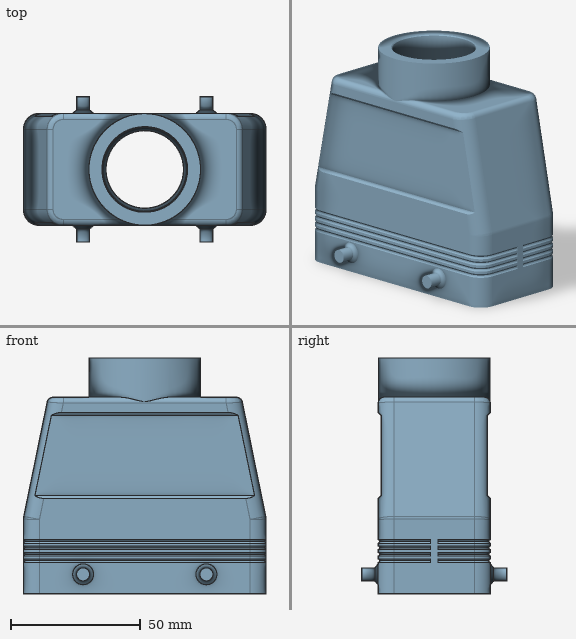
import math

import cadquery as cq

length = 93.5
width = 43.2
shoulder_height = 75.8
knee_height = 29.4
knee_radius = 5.05
top_length = 74.4
corner_radius = 6.2
top_edge_radius = 2.3

wall = 3.0
roof = 3.8
cavity_top = shoulder_height - roof

recess_depth = 1.1
recess_bottom = 36.8
recess_top = 69.9

groove_count = 4
groove_width = 1.5
groove_flank_angle = 45
groove_depth = groove_width / 2
groove_band_bottom = 12.1
groove_band_top = 21.0
groove_gap = 2.9
groove_pitch = (groove_band_top - groove_band_bottom - groove_width) / (groove_count - 1)

total_height = 91.0
collar_diameter = 43.0
bore_diameter = 32.3
bore_chamfer = 0.4
bore_depth = 10.6
seat_diameter = 29.8
seat_depth = 13.2

pin_span_y = 56.0
pin_x = 23.75
pin_z = 7.6
pin_diameter = 5.05
pin_base_diameter = 8.0
pin_base_height = 1.3

lean = math.atan((length - top_length) / 2 / (shoulder_height - knee_height))


def hood_block(half_length, half_width, height, vertical_radius):
    """Solid hood with leaning end walls, a rounded knee and rounded upright edges."""
    half_top = half_length - (height - knee_height) * math.tan(lean)
    block = (
        cq.Workplane("XZ")
        .polyline([
            (-half_length, 0),
            (half_length, 0),
            (half_length, knee_height),
            (half_top, height),
            (-half_top, height),
            (-half_length, knee_height),
        ])
        .close()
        .extrude(half_width, both=True)
    )
    knee_edges = cq.selectors.BoxSelector(
        (-length, -width, knee_height - knee_radius),
        (length, width, knee_height + knee_radius),
    )
    block = block.edges("|Y").edges(knee_edges).fillet(knee_radius)
    return block.faces("|Y").edges("not |X").fillet(vertical_radius)


def side_recess(side):
    """Cutter for the recess on one long side, with 45 degree upper and lower flanks."""
    face_y = side * width / 2
    floor_y = side * (width / 2 - recess_depth)
    return (
        cq.Workplane("YZ")
        .polyline([
            (face_y, recess_bottom),
            (floor_y, recess_bottom + recess_depth),
            (floor_y, recess_top - recess_depth),
            (face_y, recess_top),
        ])
        .close()
        .extrude(length / 2, both=True)
    )


def groove(bottom_z):
    """Cutter for one V groove around the straight part of the body."""
    outline = cq.Sketch().rect(length, width).vertices().fillet(corner_radius)
    base = cq.Workplane("XY", origin=(0, 0, bottom_z)).placeSketch(outline)
    lower_flank = base.extrude(groove_depth, taper=groove_flank_angle)
    upper_flank = lower_flank.mirror("XY", (0, 0, bottom_z + groove_depth))
    bridge = (
        cq.Workplane("XY", origin=(0, 0, bottom_z))
        .rect(length, groove_gap)
        .extrude(groove_width)
    )
    return base.extrude(groove_width).cut(lower_flank).cut(upper_flank).cut(bridge)


def cable_entry_bore():
    """Cutter for the chamfered bore that narrows through a curved seat into the cavity."""
    bore_radius = bore_diameter / 2
    seat_radius = seat_diameter / 2
    return (
        cq.Workplane("XZ")
        .moveTo(0, total_height)
        .lineTo(bore_radius + bore_chamfer, total_height)
        .lineTo(bore_radius, total_height - bore_chamfer)
        .lineTo(bore_radius, total_height - bore_depth)
        .tangentArcPoint((seat_radius, total_height - seat_depth), relative=False)
        .lineTo(seat_radius, cavity_top)
        .lineTo(0, cavity_top)
        .close()
        .revolve(360, (0, 0, 0), (0, 1, 0))
    )


def locking_pins(x):
    """Pair of opposite pins at one X position, each rooted inside the long wall."""
    root_y = width / 2 - wall / 2
    face_y = width / 2
    base_end_y = face_y + pin_base_height
    pin = (
        cq.Workplane("XY")
        .polyline([
            (0, root_y),
            (pin_base_diameter / 2, root_y),
            (pin_base_diameter / 2, face_y),
            (pin_diameter / 2, base_end_y),
            (pin_diameter / 2, pin_span_y / 2),
            (0, pin_span_y / 2),
        ])
        .close()
        .revolve(360, (0, 0, 0), (0, 1, 0))
        .translate((x, 0, pin_z))
    )
    return pin.union(pin.mirror("XZ"))


body = hood_block(length / 2, width / 2, shoulder_height, corner_radius)
body = body.faces(">Z").edges().fillet(top_edge_radius)

for side in (-1, 1):
    body = body.cut(side_recess(side))
for index in range(groove_count):
    body = body.cut(groove(groove_band_bottom + index * groove_pitch))

collar = (
    cq.Workplane("XY", origin=(0, 0, cavity_top))
    .circle(collar_diameter / 2)
    .extrude(total_height - cavity_top)
)
body = body.union(collar)

cavity = hood_block(length / 2 - wall, width / 2 - wall, cavity_top, corner_radius - wall)
body = body.cut(cavity).cut(cable_entry_bore())

for x in (-pin_x, pin_x):
    body = body.union(locking_pins(x))

result = body